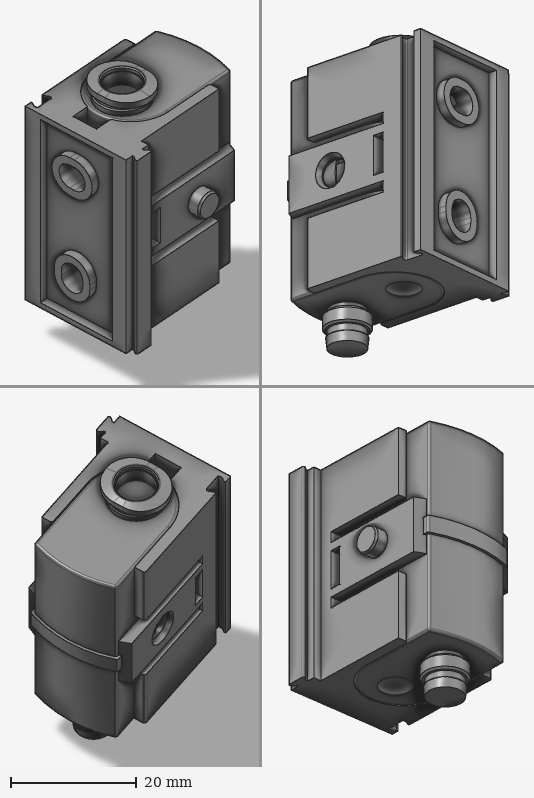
import cadquery as cq
import math

height = 38.5
half_width = 10.0
mid_z = height / 2
wall_end_y = 23.95
wall_corner_radius = 0.5

foot_x = 11.5
foot_y = 5.4
dovetail_y = 2.75
dovetail_tip_radius = 0.25
tongue_length = 1.45
tongue_neck_half = 1.2
tongue_tip_half = 1.75
groove_depth = 1.7
groove_neck_half = 1.3
groove_tip_half = 1.75
dovetail_lead = 0.3
dovetail_flare = 0.75

core_radius = 8.0
core_axis_y = 14.05
back_radius = 23.05
back_y = 30.45
core_edge_fillet = 0.5
back_center_y = back_y - back_radius

belt_height = 3.1
belt_offset = 0.5
belt_corner_radius = 0.45

clip_height = 10.0
clip_setback = 0.5
clip_gap = 1.95
clip_root_y = 7.85
clip_wall = half_width - core_radius
gap_depth = 4.9
window_length = 2.05
window_height = 6.95

coupling_y = 18.95
pin_diameter = 4.8
pin_length = 2.45
pin_chamfer_length = 0.45
pin_chamfer_depth = 0.2
coupling_hole_diameter = 5.0
coupling_hole_mouth = 6.1
countersink_depth = 1.0
pad_radius = 7.5
pad_top_x = 8.75
pad_length = 2.95
pad_half_height = 2.95

recess_left_x = -6.75
recess_right_x = 8.58
recess_margin = 1.05
recess_depth = 1.6
socket_outer = 7.55
socket_bore = 4.55
socket_stretch = 1.0
socket_spacing = 20.0
upper_socket_z = mid_z + socket_spacing / 2
lower_socket_z = mid_z - socket_spacing / 2

vent_width = 5.0
vent_front_y = 3.05

fitting_y = 12.0
collar_diameter = 10.0
collar_height = 0.95
collar_chamfer = 0.25
ring_neck_diameter = 7.35
ring_bottom = 1.95
ring_rim = 3.15
ring_top = 3.5
ring_diameter = 10.0
ring_stretch = 1.75
ring_crown_diameter = 7.75
bore_mouth = 7.35
bore_diameter = 6.9
bore_step_depth = 0.8
bore_inner = 6.55

plug_y = 23.9
plug_neck_diameter = 6.5
plug_nut_diameter = 8.0
plug_base_diameter = 5.8
plug_barb_diameter = 6.9
plug_length = 7.0
dome_diameter = 5.8
dome_height = 0.8


def cartridge_section(offset):
    """U-shaped section with an arched back, grown outward by offset."""
    side = core_radius + offset
    arch = back_radius + offset
    corner_y = back_center_y + math.sqrt(arch**2 - side**2)
    return (
        cq.Workplane("XY")
        .moveTo(-side, corner_y)
        .lineTo(-side, core_axis_y)
        .threePointArc((0, core_axis_y - side), (side, core_axis_y))
        .lineTo(side, corner_y)
        .threePointArc((0, back_center_y + arch), (-side, corner_y))
        .close()
    )


def box_between(x_range, y_range, z_range):
    """Axis-aligned box given by its limits along X, Y and Z."""
    size = [limits[1] - limits[0] for limits in (x_range, y_range, z_range)]
    corner = (x_range[0], y_range[0], z_range[0])
    return cq.Workplane("XY").box(*size, centered=False).translate(corner)


def mirrored_pair(shape):
    """The shape together with its mirror image across X = 0."""
    return shape.union(shape.mirror("YZ"))


def revolved(profile, y):
    """Turned part about the vertical axis at (0, y); profile holds (radius, z) points."""
    turned = cq.Workplane("XZ").polyline(profile).close().revolve(360, (0, 0), (0, 1))
    return turned.translate((0, y, 0))


def dovetail(root_x, length, neck_half, tip_half):
    """Dovetail bar growing along +X from root_x, with rounded tips."""
    lead_x = root_x + dovetail_lead
    flare_x = lead_x + dovetail_flare
    end_x = root_x + length
    upper = [(root_x, neck_half), (lead_x, neck_half), (flare_x, tip_half), (end_x, tip_half)]
    lower = [(x, -y) for x, y in reversed(upper)]
    points = [(x, dovetail_y + y) for x, y in upper + lower]
    bar = cq.Workplane("XY").polyline(points).close().extrude(height)
    tip_box = cq.selectors.BoxSelector((flare_x - 0.05, -0.5, -0.5), (end_x + 0.5, foot_y, height + 0.5))
    return bar.edges("|Z").edges(tip_box).fillet(dovetail_tip_radius)


def oval(diameter, z, angle, y_start, y_end):
    """Oval bar along Y at height z; angle 0 lies flat, 90 stands upright."""
    return (
        cq.Workplane("XZ", origin=(0, y_start, z))
        .slot2D(diameter + socket_stretch, diameter, angle)
        .extrude(y_start - y_end)
    )


def make_pad():
    """Barrel-shaped pad on the -X flank, behind the coupling hole."""
    barrel = (
        cq.Workplane("XZ", origin=(pad_radius - pad_top_x, coupling_y, mid_z))
        .circle(pad_radius)
        .extrude(-pad_length)
    )
    limits = box_between(
        (-pad_top_x, 0),
        (coupling_y, coupling_y + pad_length),
        (mid_z - pad_half_height, mid_z + pad_half_height),
    )
    return barrel.intersect(limits)


def make_core():
    """Cartridge body with its belt and pad."""
    core = cartridge_section(0).extrude(height)
    back_corners = core.edges("|Z").edges(">Y")
    core = back_corners.fillet(core_edge_fillet)
    core = core.faces("<Z or >Z").edges().fillet(core_edge_fillet)
    belt = cartridge_section(belt_offset).extrude(belt_height)
    belt = belt.edges("|Z").edges(">Y").fillet(belt_corner_radius)
    belt = belt.translate((0, 0, mid_z - belt_height / 2))
    return core.union(belt).union(make_pad())


def make_fitting():
    """Collar, neck and oval release ring with a stepped blind bore."""
    collar_radius = collar_diameter / 2
    neck_radius = ring_neck_diameter / 2
    base = revolved(
        [
            (0, height - core_edge_fillet),
            (collar_radius, height - core_edge_fillet),
            (collar_radius, height + collar_height),
            (collar_radius - collar_chamfer, height + collar_height + collar_chamfer),
            (neck_radius, height + collar_height + collar_chamfer),
            (neck_radius, height + ring_bottom),
            (0, height + ring_bottom),
        ],
        fitting_y,
    )
    ring_length = ring_diameter + ring_stretch
    ring = (
        cq.Workplane("XY", origin=(0, fitting_y, height + ring_bottom))
        .slot2D(ring_length, ring_diameter)
        .extrude(ring_rim - ring_bottom)
    )
    crown = (
        cq.Workplane("XY", origin=(0, fitting_y, height + ring_rim))
        .slot2D(ring_length, ring_diameter)
        .workplane(offset=ring_top - ring_rim)
        .circle(ring_crown_diameter / 2)
        .loft(ruled=True)
    )
    top = height + ring_top
    mouth_depth = (bore_mouth - bore_diameter) / 2
    bore = revolved(
        [
            (0, height),
            (bore_inner / 2, height),
            (bore_inner / 2, top - bore_step_depth),
            (bore_diameter / 2, top - bore_step_depth),
            (bore_diameter / 2, top - mouth_depth),
            (bore_mouth / 2, top),
            (0, top),
        ],
        fitting_y,
    )
    return base.union(ring).union(crown), bore


def make_plug():
    """Turned plug connector below the cartridge."""
    neck = plug_neck_diameter / 2
    nut = plug_nut_diameter / 2
    base = plug_base_diameter / 2
    barb = plug_barb_diameter / 2
    return revolved(
        [
            (0, core_edge_fillet),
            (base, core_edge_fillet),
            (base, -0.3),
            (neck, -0.3),
            (neck, -0.9),
            (nut, -1.5),
            (nut, -3.65),
            (nut - 0.35, -3.95),
            (neck, -3.95),
            (neck, -5.25),
            (barb, -5.25),
            (neck, -plug_length),
            (0, -plug_length),
        ],
        plug_y,
    )


def make_dome():
    """Shallow spherical cap under the cartridge."""
    cap_radius = dome_diameter / 2
    sphere_radius = (cap_radius**2 + dome_height**2) / (2 * dome_height)
    center = (0, fitting_y, sphere_radius - dome_height)
    limits = box_between(
        (-dome_diameter, dome_diameter),
        (fitting_y - dome_diameter, fitting_y + dome_diameter),
        (-dome_height, core_edge_fillet),
    )
    return cq.Workplane("XY").sphere(sphere_radius).translate(center).intersect(limits)


def make_cartridge():
    fitting, bore = make_fitting()
    cartridge = make_core().union(fitting).cut(bore)
    return cartridge.union(make_plug()).union(make_dome())


def make_shell():
    """Side walls, front plate, foot and dovetails."""
    shell = box_between((-half_width, half_width), (0, wall_end_y), (0, height))
    shell = shell.cut(cartridge_section(0).extrude(height))
    rounded = cq.selectors.BoxSelector(
        (-half_width - 0.5, wall_end_y - 0.5, -0.5), (-half_width + 0.5, wall_end_y + 0.5, height + 0.5)
    ) + cq.selectors.BoxSelector(
        (core_radius - 0.5, wall_end_y - 0.5, -0.5), (core_radius + 0.5, wall_end_y + 0.5, height + 0.5)
    )
    shell = shell.edges("|Z").edges(rounded).fillet(wall_corner_radius)
    foot = box_between((core_radius, foot_x), (0, foot_y), (0, height))
    tongue = dovetail(foot_x, tongue_length, tongue_neck_half, tongue_tip_half)
    groove = dovetail(-half_width, groove_depth, groove_neck_half, groove_tip_half)
    return shell.union(foot).union(tongue).cut(groove)


def add_clips(shell):
    """Free each clip with two gaps, extend it backward and cut its window."""
    clip_bottom = mid_z - clip_height / 2
    clip_top = mid_z + clip_height / 2
    for gap_bottom in (clip_bottom - clip_gap, clip_top):
        gap = box_between(
            (-half_width, -gap_depth),
            (clip_root_y, wall_end_y),
            (gap_bottom, gap_bottom + clip_gap),
        )
        shell = shell.cut(mirrored_pair(gap))
    arm = box_between(
        (-half_width, -core_radius), (coupling_y, back_y), (clip_bottom, clip_top)
    )
    arch = (
        cq.Workplane("XY", origin=(0, back_center_y, 0))
        .circle(back_radius - clip_setback)
        .extrude(height)
    )
    window = box_between(
        (-half_width, -gap_depth),
        (clip_root_y, clip_root_y + window_length),
        (mid_z - window_height / 2, mid_z + window_height / 2),
    )
    return shell.union(mirrored_pair(arm.intersect(arch))).cut(mirrored_pair(window))


def make_pin():
    """Coupling pin on the +X side."""
    radius = pin_diameter / 2
    tip_x = half_width + pin_length
    return (
        cq.Workplane("XY")
        .moveTo(core_radius + belt_offset, 0)
        .lineTo(core_radius + belt_offset, radius)
        .lineTo(tip_x - pin_chamfer_length, radius)
        .lineTo(tip_x, radius - pin_chamfer_depth)
        .lineTo(tip_x, 0)
        .close()
        .revolve(360, (0, 0), (1, 0))
        .translate((0, coupling_y, mid_z))
    )


def make_coupling_hole():
    """Countersunk hole through the -X clip."""
    radius = coupling_hole_diameter / 2
    return (
        cq.Workplane("XY")
        .moveTo(-half_width, 0)
        .lineTo(-half_width, coupling_hole_mouth / 2)
        .lineTo(-half_width + countersink_depth, radius)
        .lineTo(-half_width + clip_wall, radius)
        .lineTo(-half_width + clip_wall, 0)
        .close()
        .revolve(360, (0, 0), (1, 0))
        .translate((0, coupling_y, mid_z))
    )


def add_sockets(housing):
    """Front recess, two oval sockets reaching the cartridge, and the vent slot."""
    recess = box_between(
        (recess_left_x, recess_right_x),
        (0, recess_depth),
        (recess_margin, height - recess_margin),
    )
    housing = housing.cut(recess)
    for z, angle in ((upper_socket_z, 0), (lower_socket_z, 90)):
        housing = housing.union(oval(socket_outer, z, angle, 0, recess_depth))
        housing = housing.cut(oval(socket_bore, z, angle, 0, core_axis_y))
    vent = box_between(
        (-vent_width / 2, vent_width / 2),
        (vent_front_y, core_axis_y),
        (upper_socket_z, height),
    )
    return housing.cut(vent)


def make_housing(cartridge):
    """Complete housing, with the cartridge's seat cut out of it."""
    housing = add_clips(make_shell())
    housing = housing.union(make_pin()).cut(make_coupling_hole())
    return add_sockets(housing).cut(cartridge)


cartridge = make_cartridge()
housing = make_housing(cartridge)

result = cq.Compound.makeCompound([housing.val(), cartridge.val()])